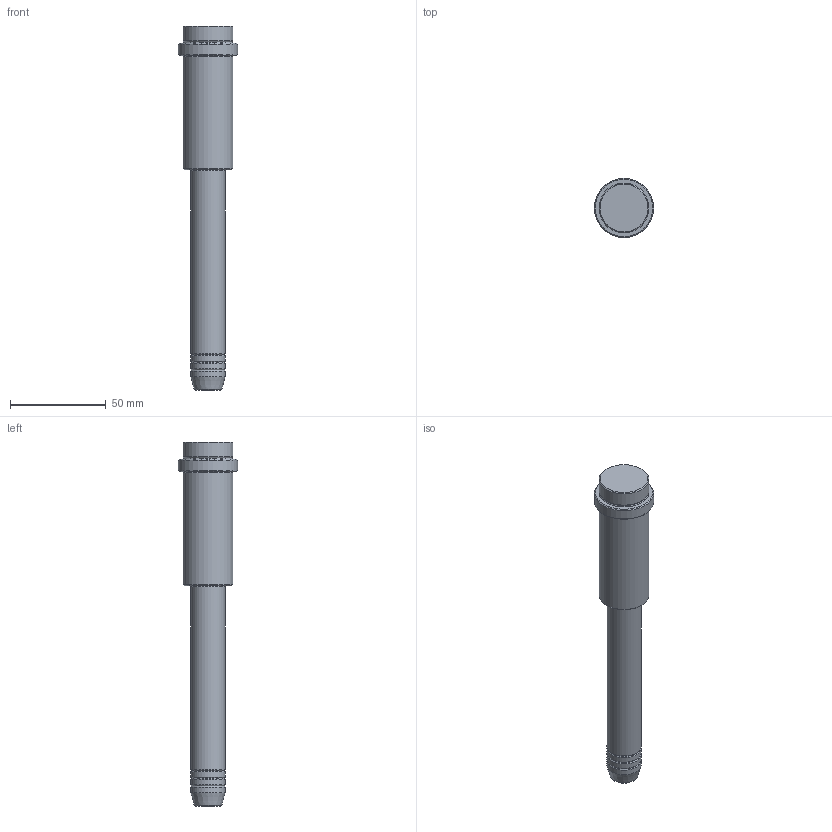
import cadquery as cq
import math

total_length = 190.0

sleeve_diameter = 26.0
sleeve_length = 75.0
sleeve_chamfer = 0.5
top_chamfer = 0.5
collar_diameter = 31.0
collar_top_depth = 9.0
collar_height = 6.4
collar_chamfer = 0.5
collar_groove_width = 1.2
collar_groove_depth = 0.4

undercut_width = 0.6
undercut_depth = 0.3

pin_diameter = 18.0
nose_length = 7.0
nose_taper_angle = 15.0
tip_chamfer = 0.5
groove_count = 3
groove_pitch = 4.0
groove_width = 1.1
groove_depth = 0.4
first_groove_height = 9.9

sleeve_radius = sleeve_diameter / 2
pin_radius = pin_diameter / 2
nose_taper = math.tan(math.radians(nose_taper_angle))
nose_end_radius = pin_radius - (nose_length - tip_chamfer) * nose_taper
sleeve_bottom = total_length - sleeve_length
collar_top = total_length - collar_top_depth
collar_bottom = collar_top - collar_height


def cylinder(radius, bottom, height):
    return cq.Workplane("XY").workplane(offset=bottom).circle(radius).extrude(height)


def v_groove(outer_radius, depth, bottom, width):
    """Ring-shaped cutter with a V section, open at the given outer radius."""
    section = (
        cq.Workplane("XZ")
        .moveTo(outer_radius, bottom)
        .lineTo(outer_radius - depth, bottom + width / 2)
        .lineTo(outer_radius, bottom + width)
        .close()
    )
    return section.revolve(360, (0, 0, 0), (0, 1, 0))


def make_pin():
    profile = (
        cq.Workplane("XZ")
        .moveTo(0, 0)
        .lineTo(nose_end_radius - tip_chamfer, 0)
        .lineTo(nose_end_radius, tip_chamfer)
        .lineTo(pin_radius, nose_length)
        .lineTo(pin_radius, sleeve_bottom)
        .lineTo(0, sleeve_bottom)
        .close()
    )
    pin = profile.revolve(360, (0, 0, 0), (0, 1, 0))
    for index in range(groove_count):
        groove_bottom = first_groove_height + index * groove_pitch
        pin = pin.cut(v_groove(pin_radius, groove_depth, groove_bottom, groove_width))
    undercut = v_groove(pin_radius, undercut_depth, sleeve_bottom - undercut_width, undercut_width)
    return pin.cut(undercut)


def make_sleeve():
    sleeve = cylinder(sleeve_radius, sleeve_bottom, sleeve_length)
    sleeve = sleeve.faces("<Z").chamfer(sleeve_chamfer)
    sleeve = sleeve.faces(">Z").chamfer(top_chamfer)
    collar_groove = v_groove(sleeve_radius, collar_groove_depth, collar_top, collar_groove_width)
    undercut = v_groove(sleeve_radius, undercut_depth, collar_bottom - undercut_width, undercut_width)
    return sleeve.cut(collar_groove).cut(undercut)


def make_collar():
    collar = cylinder(collar_diameter / 2, collar_bottom, collar_height)
    return collar.edges().chamfer(collar_chamfer)


result = make_pin().union(make_sleeve()).union(make_collar())